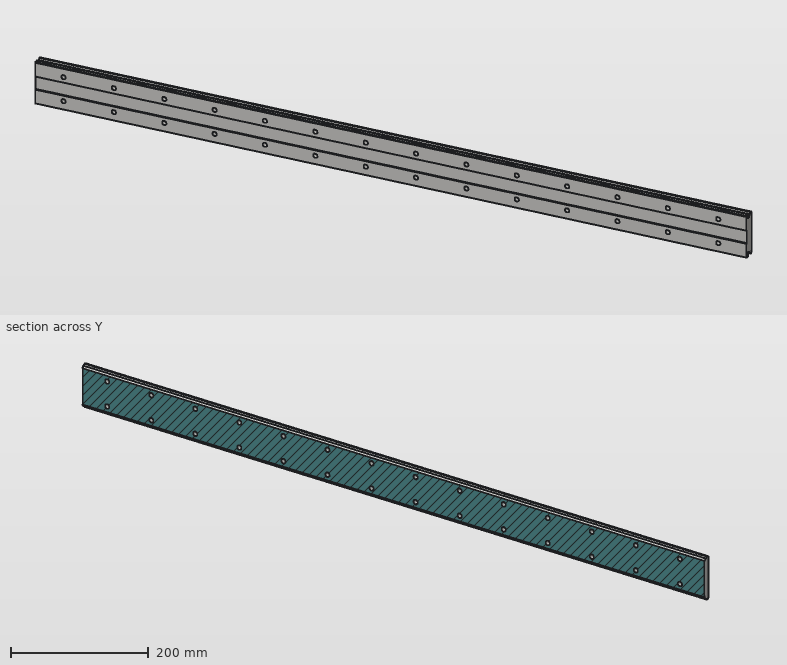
import cadquery as cq

LENGTH = 1130.0
THICKNESS = 19.0
HEIGHT = 69.0

FRONT = -THICKNESS / 2
BACK = THICKNESS / 2
EDGE = HEIGHT / 2

FRONT_BEVEL = 1.0
BACK_BEVEL = 2.5

FRONT_LIP = 6.0
GROOVE_MOUTH = 8.75
UNDERCUT = 1.0
FLOOR_WIDTH = 3.25
FLOOR_DEPTH = 5.75
LEDGE_START = 5.75
LEDGE_END = 6.25
LEDGE_DEPTH = 2.5
MOUTH_WALL = 0.5

CHANNEL_HEIGHT = 22.0
CHANNEL_FLOOR_HEIGHT = 20.0
CHANNEL_DEPTH = 1.0

HOLE_DIAMETER = 6.75
HOLE_PITCH = 80.0
HOLES_PER_ROW = 14
ROW_SPACING = 39.75


def extrude_along_rail(profile):
    """Solid of full rail length from (y, z) points."""
    return cq.Workplane("YZ").polyline(profile).close().extrude(LENGTH / 2, both=True)


def make_bar():
    bar = cq.Workplane("XY").box(LENGTH, THICKNESS, HEIGHT)
    bar = bar.faces("<Y").edges("|X").chamfer(FRONT_BEVEL)
    return bar.faces(">Y").edges("|X").chamfer(BACK_BEVEL)


def make_edge_groove(side):
    """Groove with a leaning front wall and a stepped back wall; side is +1 at the top, -1 at the bottom."""
    front_wall = FRONT + FRONT_LIP
    section = [
        (0, 0),
        (GROOVE_MOUTH, 0),
        (GROOVE_MOUTH, MOUTH_WALL),
        (LEDGE_END, LEDGE_DEPTH),
        (LEDGE_START, LEDGE_DEPTH),
        (FLOOR_WIDTH, FLOOR_DEPTH),
        (-UNDERCUT, FLOOR_DEPTH),
    ]
    return extrude_along_rail([(front_wall + offset, side * (EDGE - depth)) for offset, depth in section])


def make_front_channel():
    half_mouth = CHANNEL_HEIGHT / 2
    half_floor = CHANNEL_FLOOR_HEIGHT / 2
    floor = FRONT + CHANNEL_DEPTH
    return extrude_along_rail(
        [(FRONT, -half_mouth), (floor, -half_floor), (floor, half_floor), (FRONT, half_mouth)]
    )


def make_holes():
    return (
        cq.Workplane("XZ")
        .rarray(HOLE_PITCH, ROW_SPACING, HOLES_PER_ROW, 2)
        .circle(HOLE_DIAMETER / 2)
        .extrude(THICKNESS, both=True)
    )


result = make_bar()
for edge_side in (1, -1):
    result = result.cut(make_edge_groove(edge_side))
result = result.cut(make_front_channel()).cut(make_holes())